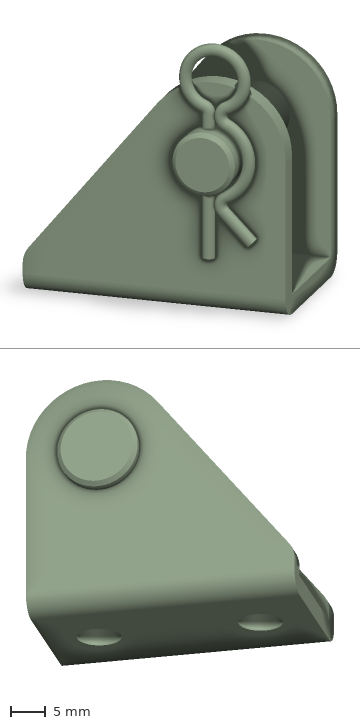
import cadquery as cq
import math

length = 40.0
width = 24.0
thickness = 3.0
height = 35.0
ear_radius = 11.0
toe_height = 6.0
toe_radius = 4.0
bend_radius = 3.0
mount_hole_diameter = 6.5
mount_hole_inset = 8.0

pin_x = length - ear_radius
pin_z = height - ear_radius
pin_radius = 4.75
pin_overhang = 5.05
head_radius = 6.0
head_thickness = 2.0
pin_chamfer = 0.62

wire_radius = 0.9
cotter_offset = 2.0
overall_height = 41.6
ring_radius = 4.5
leg_bottom = 9.02
neck_radius = 1.0
waist_radius = 1.4
wrap_radius = 6.05
tail_length = 6.2
tail_angle = math.radians(-45)


def polar(centre, radius, angle):
    """Point at a radius and angle from a centre in the XZ plane."""
    return (centre[0] + radius * math.cos(angle), centre[1] + radius * math.sin(angle))


def direction(start, end):
    """Angle of the line from one XZ point to another."""
    return math.atan2(end[1] - start[1], end[0] - start[0])


def make_bracket():
    """U channel trimmed to the ear outline, with two mounting holes."""
    channel = (
        cq.Workplane("XY")
        .box(length, width, height, centered=(False, True, False))
        .edges("|X and <Z")
        .fillet(bend_radius)
    )
    cavity = (
        cq.Workplane("XY", origin=(0, 0, thickness))
        .box(length, width - 2 * thickness, height, centered=(False, True, False))
    )

    toe_corner = (0, toe_height)
    ear_centre = (pin_x, pin_z)
    centre_distance = math.dist(toe_corner, ear_centre)
    slope_angle = direction(toe_corner, ear_centre) + math.asin(ear_radius / centre_distance)
    slope_end = polar(ear_centre, ear_radius, slope_angle + math.pi / 2)
    outline = (
        cq.Workplane("XZ", origin=(0, width / 2, 0))
        .moveTo(0, 0)
        .lineTo(length, 0)
        .lineTo(length, pin_z)
        .threePointArc(polar(ear_centre, ear_radius, math.pi / 4), slope_end)
        .lineTo(*toe_corner)
        .close()
        .extrude(width)
    )
    toe_edge = cq.selectors.NearestToPointSelector((0, 0, toe_height))
    outline = outline.edges("|Y").edges(toe_edge).fillet(toe_radius)

    holes = (
        cq.Workplane("XY")
        .pushPoints([(mount_hole_inset, 0), (length - mount_hole_inset, 0)])
        .circle(mount_hole_diameter / 2)
        .extrude(thickness)
    )
    return channel.cut(cavity).intersect(outline).cut(holes)


def make_pin():
    """Headed pin with chamfered ends; the head bears on the rear ear."""
    rear_face = cq.Workplane("XZ", origin=(pin_x, width / 2, pin_z))
    shank = rear_face.circle(pin_radius).extrude(width + pin_overhang)
    shank = shank.faces("<Y").chamfer(pin_chamfer)
    head = rear_face.circle(head_radius).extrude(-head_thickness)
    head = head.faces(">Y").chamfer(pin_chamfer)
    return shank.union(head)


def make_cotter():
    """Straight leg through the pin, ring on top, wrap around the pin and angled tail."""
    wire_y = -width / 2 - cotter_offset
    pin_centre = (pin_x, pin_z)
    ring_centre = (pin_x + wire_radius, overall_height - ring_radius - wire_radius)

    neck_x = pin_x - neck_radius
    neck_drop = math.sqrt((ring_radius + neck_radius) ** 2 - (ring_centre[0] - neck_x) ** 2)
    neck_centre = (neck_x, ring_centre[1] - neck_drop)
    neck_angle = direction(neck_centre, ring_centre)

    to_wrap = wrap_radius + waist_radius
    to_ring = ring_radius + waist_radius
    span = math.dist(pin_centre, ring_centre)
    corner_angle = math.acos((to_wrap ** 2 + span ** 2 - to_ring ** 2) / (2 * to_wrap * span))
    wrap_angle = direction(pin_centre, ring_centre) - corner_angle
    upper_waist = polar(pin_centre, to_wrap, wrap_angle)
    lower_waist = polar(pin_centre, to_wrap, -wrap_angle)

    leg_top = polar(neck_centre, neck_radius, 0)
    ring_start = polar(neck_centre, neck_radius, neck_angle)
    ring_end = polar(ring_centre, ring_radius, direction(ring_centre, upper_waist))
    wrap_start = polar(pin_centre, wrap_radius, wrap_angle)
    wrap_end = polar(pin_centre, wrap_radius, -wrap_angle)
    tail_start = polar(lower_waist, waist_radius, tail_angle - math.pi / 2)
    tail_end = polar(tail_start, tail_length, tail_angle)

    path = (
        cq.Workplane("XZ", origin=(0, wire_y, 0))
        .moveTo(pin_x, leg_bottom)
        .lineTo(*leg_top)
        .threePointArc(polar(neck_centre, neck_radius, neck_angle / 2), ring_start)
        .threePointArc(polar(ring_centre, ring_radius, math.pi / 2), ring_end)
        .threePointArc(polar(upper_waist, waist_radius, math.pi), wrap_start)
        .threePointArc(polar(pin_centre, wrap_radius, 0), wrap_end)
        .threePointArc(polar(lower_waist, waist_radius, math.pi), tail_start)
        .lineTo(*tail_end)
    )
    leg_end = cq.Workplane("XY", origin=(pin_x, wire_y, leg_bottom))
    return leg_end.circle(wire_radius).sweep(path)


result = make_bracket().union(make_pin()).union(make_cotter())